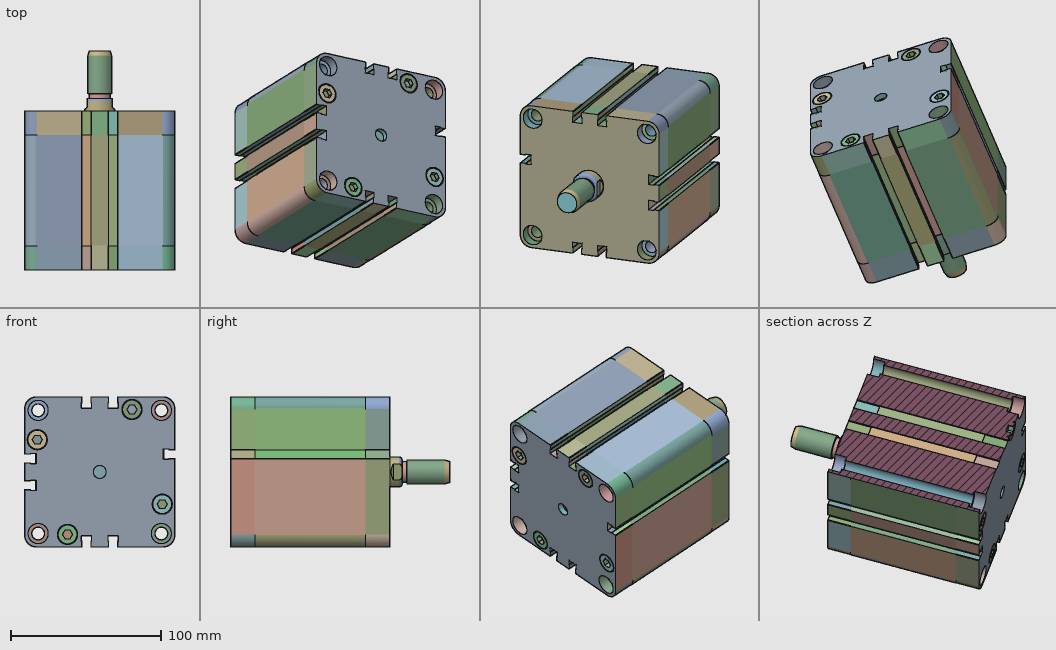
import cadquery as cq
import math

side = 100.0
half_side = side / 2
total_length = 146.0
body_length = 106.0
cap_length = 16.0
barrel_length = body_length - 2 * cap_length
cap_corner_radius = 8.2
barrel_corner_radius = 7.7

slot_offset = 8.9
single_slot_offset = 11.8
slot_neck_width = 5.8
slot_neck_depth = 4.0
slot_wide_width = 6.7
barrel_slot_depth = 7.3
cap_slot_depth = 7.7
cap_mouth_chamfer = 0.36

mount_hole_position = 41.0
mount_hole_diameter = 8.3
mount_bore_diameter = 13.5
mount_bore_depth = 8.0

screw_inner_position = 21.5
screw_outer_position = 41.6
screw_recess_diameter = 13.5
screw_head_diameter = 12.5
screw_gap_depth = 1.5
socket_across_flats = 5.8
socket_depth = 3.6

center_hole_diameter = 8.6
center_hole_depth = 4.0

collar_diameter = 20.0
collar_length = 8.3
collar_fillet = 2.0
flat_width = 17.0
flat_clearance = 0.9
neck_diameter = 14.0
neck_length = 3.2
thread_diameter = 16.0
thread_relief = 0.3
tip_diameter = 14.0
tip_length = 3.4


def cylinder(diameter, start, length, x=0.0, z=0.0):
    """Cylinder along +Y whose first end lies in the plane y = start."""
    axis_start = cq.Vector(x, start, z)
    return cq.Workplane(cq.Solid.makeCylinder(diameter / 2, length, axis_start, cq.Vector(0, 1, 0)))


def block(corner_radius, start, length):
    """Square prism along Y with rounded long edges."""
    prism = cq.Workplane("XY").box(side, length, side).edges("|Y").fillet(corner_radius)
    return prism.translate((0, start + length / 2, 0))


def slot_cutter(start, length, depth, mouth_chamfer):
    """Slot opening in the +Z face, centred on x = 0."""
    neck = slot_neck_width / 2
    wide = slot_wide_width / 2
    mouth = neck + mouth_chamfer
    neck_bottom = half_side - slot_neck_depth
    floor = half_side - depth
    right_side = [
        (mouth, half_side),
        (neck, neck_bottom),
        (wide, neck_bottom),
        (wide, floor),
    ]
    if mouth_chamfer > 0:
        right_side.insert(1, (neck, half_side - mouth_chamfer))
    left_side = [(-x, z) for x, z in reversed(right_side)]
    profile = cq.Workplane("XZ", origin=(0, start, 0)).polyline(right_side + left_side).close()
    return profile.extrude(-length)


def cut_slots(section, cutter):
    """Cut pairs of slots in the top, left and bottom faces and one slot in the right face."""
    pair = (-slot_offset, slot_offset)
    slots = [(0, pair), (-90, pair), (180, pair), (90, (-single_slot_offset,))]
    for angle, offsets in slots:
        for offset in offsets:
            placed = cutter.translate((offset, 0, 0)).rotate((0, 0, 0), (0, 1, 0), angle)
            section = section.cut(placed)
    return section


def make_cap(start):
    cap = block(cap_corner_radius, start, cap_length)
    return cut_slots(cap, slot_cutter(start, cap_length, cap_slot_depth, cap_mouth_chamfer))


def make_barrel():
    barrel = block(barrel_corner_radius, cap_length, barrel_length)
    return cut_slots(barrel, slot_cutter(cap_length, barrel_length, barrel_slot_depth, 0.0))


def make_body():
    """Caps and barrel joined, keeping the seam edges between them."""
    rear_cap = make_cap(0.0)
    front_cap = make_cap(body_length - cap_length)
    return make_barrel().union(rear_cap, clean=False).union(front_cap, clean=False)


def cut_mount_holes(body):
    for x in (-mount_hole_position, mount_hole_position):
        for z in (-mount_hole_position, mount_hole_position):
            body = body.cut(cylinder(mount_hole_diameter, 0.0, body_length, x, z), clean=False)
            for start in (0.0, body_length - mount_bore_depth):
                bore = cylinder(mount_bore_diameter, start, mount_bore_depth, x, z)
                body = body.cut(bore, clean=False)
    return body


def cut_screws(body):
    """Ring gap round each flush screw head and a hexagon socket in it."""
    socket_diameter = socket_across_flats / math.cos(math.pi / 6)
    a = screw_inner_position
    b = screw_outer_position
    for x, z in ((a, b), (-b, a), (-a, -b), (b, -a)):
        recess = cylinder(screw_recess_diameter, 0.0, screw_gap_depth, x, z)
        gap = recess.cut(cylinder(screw_head_diameter, 0.0, screw_gap_depth, x, z))
        socket = cq.Workplane("XZ").center(x, z).polygon(6, socket_diameter).extrude(-socket_depth)
        body = body.cut(gap, clean=False).cut(socket, clean=False)
    return body


def make_rod():
    """Turned rod profile revolved about Y, with two flats milled on the collar."""
    collar_end = body_length + collar_length
    neck_end = collar_end + neck_length
    collar_radius = collar_diameter / 2
    neck_radius = neck_diameter / 2
    thread_radius = thread_diameter / 2
    fillet_start = (collar_radius, collar_end - collar_fillet)
    fillet_end = (collar_radius - collar_fillet, collar_end)
    fillet_sag = collar_fillet * (1 - math.sqrt(0.5))
    fillet_middle = (collar_radius - fillet_sag, collar_end - fillet_sag)
    profile = (
        cq.Workplane("XY")
        .moveTo(0, body_length)
        .lineTo(collar_radius, body_length)
        .lineTo(*fillet_start)
        .threePointArc(fillet_middle, fillet_end)
        .lineTo(neck_radius, collar_end)
        .lineTo(neck_radius, neck_end - thread_relief)
        .lineTo(thread_radius, neck_end)
        .lineTo(thread_radius, total_length - tip_length)
        .lineTo(tip_diameter / 2, total_length)
        .lineTo(0, total_length)
        .close()
    )
    rod = profile.revolve(360, (0, 0, 0), (0, 1, 0))

    flat = flat_width / 2
    slope_start = body_length + flat_clearance
    slope_length = collar_radius - flat
    flat_profile = [
        (flat, collar_end),
        (flat, slope_start + slope_length),
        (collar_radius, slope_start),
        (collar_radius, collar_end),
    ]
    cutter = cq.Workplane("XY").polyline(flat_profile).close().extrude(collar_radius, both=True)
    return rod.cut(cutter).cut(cutter.mirror("YZ"))


center_hole = cylinder(center_hole_diameter, 0.0, center_hole_depth)
body = cut_screws(cut_mount_holes(make_body())).cut(center_hole, clean=False)
result = body.union(make_rod(), clean=False)